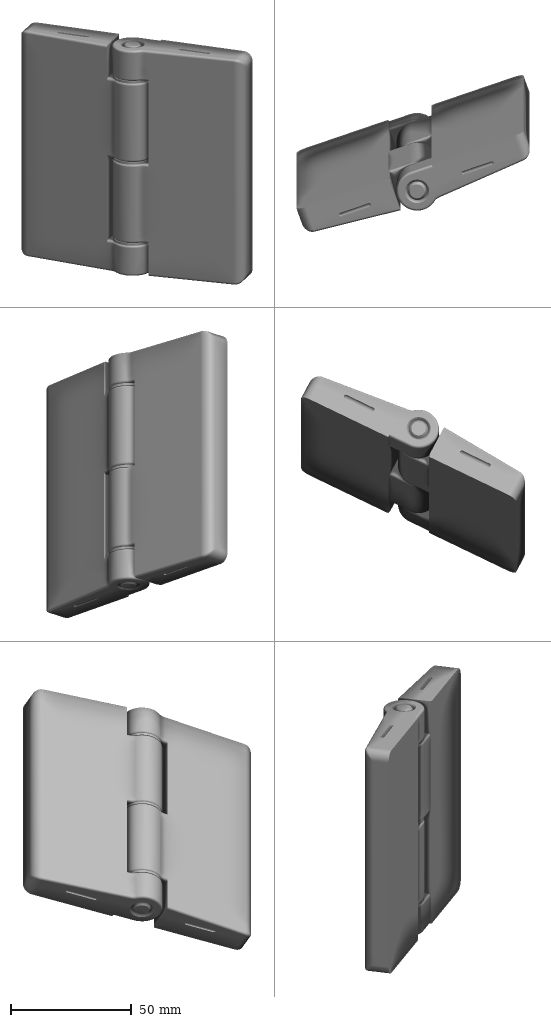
import cadquery as cq
import math


leaf_length = 100.0
half_length = leaf_length / 2
half_span = 50.0
outer_depth = 11.0
front_slope = 5.0
outer_edge_radius = 4.5
corner_radius = 4.0
end_radius = 1.0
back_relief = 0.5
relief_edge = 9.5
notch_edge = 9.2

knuckle_radius = 8.5
axis_y = -(back_relief + knuckle_radius)
blend_radius = 4.0
joint_gap = 1.0
outer_joint_z = 36.0
joint_heights = [-outer_joint_z, 0.0, outer_joint_z]

pin_radius = 4.0
pin_chamfer = 1.0
washer_radius = 8.2

cover_inner = 14.0
cover_outer = 42.0
cover_back = 3.4
cover_corner_radius = 1.0
slot_length = 14.0
slot_width = 1.5
slot_x = 27.0
slot_y = -7.9

slope_angle = math.radians(front_slope)
stock_depth = 2 * (knuckle_radius - axis_y)


def front_y(x):
    """Y of the sloping front face of the right leaf."""
    return -outer_depth - math.tan(slope_angle) * (half_span - x)


def extrude_between(outline, bottom, top):
    """Extrude a closed XY outline from z = bottom to z = top."""
    return outline.extrude(top - bottom).translate((0, 0, bottom))


def axis_cylinder(radius, bottom, top):
    """Cylinder on the pin axis."""
    return extrude_between(cq.Workplane("XY").center(0, axis_y).circle(radius), bottom, top)


def round_face_ends(body, point):
    """Round the top and bottom edges of the face nearest to a point."""
    face = body.faces(cq.selectors.NearestToPointSelector(point))
    return face.edges(">Z or <Z").fillet(end_radius)


def turn_to_left(body):
    return body.rotate((0, 0, 0), (0, 1, 0), 180)


def make_plate():
    """Right plate, rounded, before the cover is divided from it."""
    outline = (
        cq.Workplane("XY")
        .moveTo(notch_edge, -back_relief)
        .lineTo(relief_edge, -back_relief)
        .lineTo(relief_edge, 0)
        .lineTo(half_span, 0)
        .lineTo(half_span, front_y(half_span))
        .lineTo(notch_edge, front_y(notch_edge))
        .close()
    )
    plate = extrude_between(outline, -half_length, half_length)
    plate = plate.faces(">X").edges("<Y").fillet(outer_edge_radius)

    rounded_corners = (
        cq.Workplane("XY")
        .box(2 * half_span, stock_depth, leaf_length)
        .edges("|Y")
        .fillet(corner_radius)
    )
    plate = plate.intersect(rounded_corners)

    middle_x = half_span / 2
    plate = round_face_ends(plate, (middle_x, front_y(middle_x), 0))
    return round_face_ends(plate, ((notch_edge + relief_edge) / 2, -back_relief, 0))


def make_knuckle(bottom, top):
    """Right-hand knuckle: a barrel blended into the plate's front slope, with rounded ends."""
    axis_to_slope = (axis_y - front_y(0)) * math.cos(slope_angle)
    square_reach = axis_to_slope + blend_radius
    along_reach = math.sqrt((knuckle_radius + blend_radius) ** 2 - square_reach**2)

    blend_x = along_reach * math.cos(slope_angle) + square_reach * math.sin(slope_angle)
    blend_y = axis_y + along_reach * math.sin(slope_angle) - square_reach * math.cos(slope_angle)
    barrel_share = knuckle_radius / (knuckle_radius + blend_radius)
    barrel_tangent = (blend_x * barrel_share, axis_y + (blend_y - axis_y) * barrel_share)
    slope_tangent_x = blend_x - blend_radius * math.sin(slope_angle)
    slope_tangent = (slope_tangent_x, front_y(slope_tangent_x))

    barrel_angle = math.atan2(axis_y - blend_y, -blend_x)
    slope_normal_angle = math.pi / 2 + slope_angle
    middle_angle = (barrel_angle + slope_normal_angle) / 2
    blend_middle = (
        blend_x + blend_radius * math.cos(middle_angle),
        blend_y + blend_radius * math.sin(middle_angle),
    )

    outline = (
        cq.Workplane("XY")
        .moveTo(notch_edge, -back_relief)
        .lineTo(0, -back_relief)
        .threePointArc((-knuckle_radius, axis_y), barrel_tangent)
        .threePointArc(blend_middle, slope_tangent)
        .lineTo(notch_edge, front_y(notch_edge))
        .close()
    )
    knuckle = extrude_between(outline, bottom, top)
    return knuckle.faces("<Z or >Z").edges("not >X").fillet(end_radius)


def make_pin():
    pin = axis_cylinder(pin_radius, -half_length, half_length)
    return pin.faces("<Z or >Z").chamfer(pin_chamfer)


def cut_pin_hole(leaf):
    """Bore for the pin, chamfered where it opens at the ends of the hinge."""
    leaf = leaf.cut(axis_cylinder(pin_radius, -half_length, half_length))
    mouth_radius = pin_radius + pin_chamfer
    for end in (-1, 1):
        face_z = end * half_length
        mouth = cq.Solid.makeCone(
            mouth_radius,
            pin_radius,
            pin_chamfer,
            pnt=cq.Vector(0, axis_y, face_z),
            dir=cq.Vector(0, 0, -end),
        )
        leaf = leaf.cut(cq.Workplane(mouth))
    return leaf


def make_cover_block():
    """Prism that divides the cover from the plate; it runs out through the front."""
    return (
        cq.Workplane("XY")
        .box(cover_outer - cover_inner, stock_depth, leaf_length)
        .edges("|Z and >Y")
        .fillet(cover_corner_radius)
        .translate(((cover_inner + cover_outer) / 2, -cover_back - stock_depth / 2, 0))
    )


def make_end_slot(end_z):
    """Round-bottomed slot in a cover's end: a half-round trough with ball ends."""
    slot_radius = slot_width / 2
    ball_offset = slot_length / 2 - slot_radius
    outline = (
        cq.Workplane("XY")
        .moveTo(-slot_length / 2, 0)
        .radiusArc((-ball_offset, slot_radius), slot_radius)
        .lineTo(ball_offset, slot_radius)
        .radiusArc((slot_length / 2, 0), slot_radius)
        .close()
    )
    return outline.revolve(360, (0, 0), (1, 0)).translate((slot_x, slot_y, end_z))


def make_leaf(plate):
    """Right leaf: plate without its cover, plus the two right-hand knuckles."""
    half_gap = joint_gap / 2
    leaf = plate.cut(make_cover_block())
    leaf = leaf.union(make_knuckle(outer_joint_z + half_gap, half_length))
    leaf = leaf.union(make_knuckle(-outer_joint_z + half_gap, -half_gap))
    return cut_pin_hole(leaf)


def make_cover(plate):
    """Right cover: the front part of the plate, slotted at both ends."""
    cover = plate.intersect(make_cover_block())
    for end_z in (-half_length, half_length):
        cover = cover.cut(make_end_slot(end_z))
    return cover


def make_washer(middle_z):
    bottom = middle_z - joint_gap / 2
    top = middle_z + joint_gap / 2
    return axis_cylinder(washer_radius, bottom, top).cut(axis_cylinder(pin_radius, bottom, top))


right_plate = make_plate()
right_leaf = make_leaf(right_plate)
left_leaf = turn_to_left(right_leaf)
right_cover = make_cover(right_plate)
left_cover = turn_to_left(right_cover)
pin = make_pin()
washers = [make_washer(middle_z) for middle_z in joint_heights]

result = cq.Compound.makeCompound(
    [
        left_leaf.val(),
        right_leaf.val(),
        left_cover.val(),
        right_cover.val(),
        pin.val(),
        *[washer.val() for washer in washers],
    ]
)